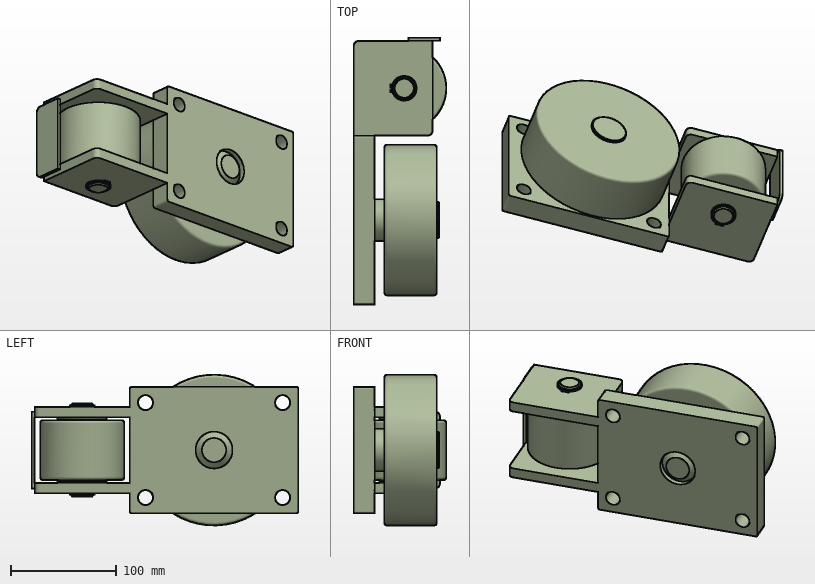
import cadquery as cq

PLATE_THICKNESS = 20.0
PLATE_LENGTH = 160.0
PLATE_HEIGHT = 120.0
PLATE_CORNER_RADIUS = 2.0
BOLT_HOLE_DIAMETER = 14.0
BOLT_SPACING_Y = 130.0
BOLT_SPACING_Z = 90.0

ARM_DEPTH = 75.0
ARM_LENGTH = 90.0
ARM_THICKNESS = 10.0
ARM_GAP = 62.0
ARM_CORNER_RADIUS = 5.0
ARM_START_Y = PLATE_LENGTH / 2
ARM_END_Y = ARM_START_Y + ARM_LENGTH
ARM_OUTER_Z = ARM_GAP / 2 + ARM_THICKNESS

STRIP_THICKNESS = 3.0
STRIP_WIDTH = 30.0
STRIP_HEIGHT = 73.0
STRIP_START_X = 52.0
STRIP_CORNER_RADIUS = 5.0

MAIN_DIAMETER = 143.2
MAIN_WIDTH = 50.0
MAIN_START_X = 29.0
MAIN_END_X = MAIN_START_X + MAIN_WIDTH
HUB_DIAMETER = 40.0
CAP_DIAMETER = 34.4
CAP_HEIGHT = 2.1
CAP_CHAMFER = 0.8
PIN_DIAMETER = 35.0
PIN_CHAMFER = 6.0

SIDE_AXIS_X = 48.0
SIDE_AXIS_Y = ARM_START_Y + ARM_LENGTH / 2
SIDE_DIAMETER = 80.0
SIDE_WIDTH = 57.0
SPACER_DIAMETER = 47.0
SPACER_THICKNESS = 1.6
BEARING_FACE_DIAMETER = 46.0
AXLE_DIAMETER = 21.0
AXLE_CHAMFER = 1.5
AXLE_OVERHANG = 3.4

RIM_RADIUS = 3.0

RING_DIAMETER = 23.5
RING_THICKNESS = 1.5
LUG_REACH = 13.1
LUG_OUTER_Y = 3.7
LUG_GAP = 1.6
LUG_HOLE_DIAMETER = 1.5


def make_plate():
    """Mounting plate with rounded corners and four bolt holes."""
    plate = (
        cq.Workplane("YZ")
        .rect(PLATE_LENGTH, PLATE_HEIGHT)
        .extrude(PLATE_THICKNESS)
        .edges("|X")
        .fillet(PLATE_CORNER_RADIUS)
    )
    bolt_holes = (
        cq.Workplane("YZ")
        .rect(BOLT_SPACING_Y, BOLT_SPACING_Z, forConstruction=True)
        .vertices()
        .circle(BOLT_HOLE_DIAMETER / 2)
        .extrude(PLATE_THICKNESS)
    )
    return plate.cut(bolt_holes)


def make_weld_groove():
    """Ring cut around the chamfered pin end, between the pin and its hole in the plate."""
    hole_radius = PIN_DIAMETER / 2
    return (
        cq.Workplane("XY")
        .moveTo(0, hole_radius - PIN_CHAMFER)
        .lineTo(0, hole_radius)
        .lineTo(PIN_CHAMFER, hole_radius)
        .close()
        .revolve(360, (0, 0, 0), (1, 0, 0))
    )


def make_arm(base_z):
    """Flat fork arm, rounded at two opposite corners, with a hole for the axle."""
    arm = (
        cq.Workplane("XY", origin=(0, ARM_START_Y, base_z))
        .rect(ARM_DEPTH, ARM_LENGTH, centered=False)
        .extrude(ARM_THICKNESS)
    )
    arm = arm.edges("|Z and <X and >Y").fillet(ARM_CORNER_RADIUS)
    arm = arm.edges("|Z and >X and <Y").fillet(ARM_CORNER_RADIUS)
    axle_hole = (
        cq.Workplane("XY", origin=(SIDE_AXIS_X, SIDE_AXIS_Y, base_z))
        .circle(AXLE_DIAMETER / 2)
        .extrude(ARM_THICKNESS)
    )
    return arm.cut(axle_hole)


def make_strip():
    """Thin strip bridging the arm ends, rounded at its two outer corners."""
    return (
        cq.Workplane("XY", origin=(STRIP_START_X, ARM_END_Y, -STRIP_HEIGHT / 2))
        .box(STRIP_WIDTH, STRIP_THICKNESS, STRIP_HEIGHT, centered=False)
        .edges("|Y and >X")
        .fillet(STRIP_CORNER_RADIUS)
    )


def make_main_roller():
    """Main roller with the hub that joins it to the plate and the cap on its far face."""
    wheel = (
        cq.Workplane("YZ", origin=(MAIN_START_X, 0, 0))
        .circle(MAIN_DIAMETER / 2)
        .extrude(MAIN_WIDTH)
        .edges()
        .fillet(RIM_RADIUS)
    )
    hub = (
        cq.Workplane("YZ", origin=(PLATE_THICKNESS, 0, 0))
        .circle(HUB_DIAMETER / 2)
        .extrude(MAIN_START_X - PLATE_THICKNESS)
    )
    cap = (
        cq.Workplane("YZ", origin=(MAIN_END_X, 0, 0))
        .circle(CAP_DIAMETER / 2)
        .extrude(CAP_HEIGHT)
        .faces(">X")
        .chamfer(CAP_CHAMFER)
    )
    return wheel.union(hub).union(cap)


def make_carrier():
    """Welded carrier: plate, fork arms, strip and the main roller on its welded pin."""
    carrier = make_plate().union(make_main_roller()).cut(make_weld_groove())
    for base_z in (ARM_GAP / 2, -ARM_OUTER_Z):
        carrier = carrier.union(make_arm(base_z))
    return carrier.union(make_strip())


def side_cylinder(diameter, length):
    """Cylinder on the side roller axis, centred between the arms."""
    return (
        cq.Workplane("XY", origin=(SIDE_AXIS_X, SIDE_AXIS_Y, -length / 2))
        .circle(diameter / 2)
        .extrude(length)
    )


def make_spacer(base_z):
    """Thin disc between a bearing face and the inner side of an arm."""
    return (
        cq.Workplane("XY", origin=(SIDE_AXIS_X, SIDE_AXIS_Y, base_z))
        .circle(SPACER_DIAMETER / 2)
        .extrude(SPACER_THICKNESS)
    )


def make_retaining_ring(base_z):
    """Retaining ring with two drilled lugs pointing toward -X."""
    ring_plane = cq.Workplane("XY", origin=(SIDE_AXIS_X, SIDE_AXIS_Y, base_z))
    ring = ring_plane.circle(RING_DIAMETER / 2).extrude(RING_THICKNESS)
    lug_width = LUG_OUTER_Y - LUG_GAP / 2
    lug_y = LUG_GAP / 2 + lug_width / 2
    lug_centers = [(-LUG_REACH / 2, lug_y), (-LUG_REACH / 2, -lug_y)]
    lugs = ring_plane.pushPoints(lug_centers).rect(LUG_REACH, lug_width).extrude(RING_THICKNESS)
    hole_x = -(LUG_REACH + AXLE_DIAMETER / 2) / 2
    hole_centers = [(hole_x, lug_y), (hole_x, -lug_y)]
    lug_holes = ring_plane.pushPoints(hole_centers).circle(LUG_HOLE_DIAMETER / 2).extrude(RING_THICKNESS)
    return ring.union(lugs).cut(lug_holes)


def make_side_roller():
    """Side roller with its bearing faces, spacers, axle and retaining rings."""
    roller = side_cylinder(SIDE_DIAMETER, SIDE_WIDTH).edges().fillet(RIM_RADIUS)
    bearing_faces = side_cylinder(BEARING_FACE_DIAMETER, ARM_GAP - 2 * SPACER_THICKNESS)
    roller = roller.union(bearing_faces)
    for base_z in (ARM_GAP / 2 - SPACER_THICKNESS, -ARM_GAP / 2):
        roller = roller.union(make_spacer(base_z))
    axle_length = 2 * (ARM_OUTER_Z + AXLE_OVERHANG)
    axle = side_cylinder(AXLE_DIAMETER, axle_length).edges().chamfer(AXLE_CHAMFER)
    roller = roller.union(axle)
    for base_z in (ARM_OUTER_Z, -ARM_OUTER_Z - RING_THICKNESS):
        roller = roller.union(make_retaining_ring(base_z))
    return roller


carrier = make_carrier()
side_roller = make_side_roller()

result = cq.Compound.makeCompound([carrier.val(), side_roller.val()])